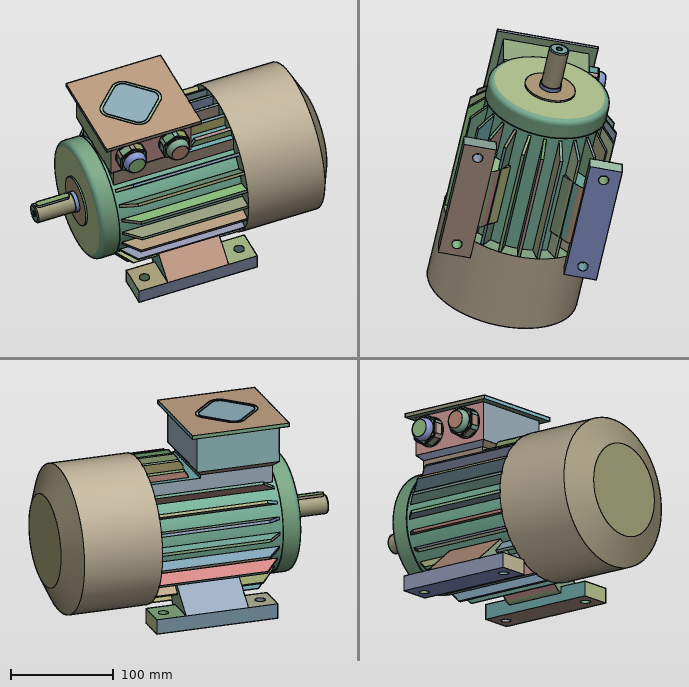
import cadquery as cq
import math


motor_length = 290.0

shaft_dia = 19.0
shaft_length = 40.0
shaft_chamfer = 1.2
collar_dia = 21.0
center_hole_dia = 5.0
center_hole_mouth_dia = 6.0
center_hole_depth = 11.5
drill_tip_depth = center_hole_dia / 4
mouth_depth = (center_hole_mouth_dia - center_hole_dia) / 2
key_width = 6.0
key_length = 34.8
key_front_y = -37.7
key_top_z = 12.0

pilot_dia = 50.0
pilot_front_y = 4.0
shield_dia = 120.0
shield_front_y = 5.8
shield_back_y = 25.2
shield_round = 5.2

frame_dia = 118.0
cowl_dia = 149.0
cowl_front_y = 155.2
cowl_shoulder_y = 235.8
cowl_back_y = motor_length - shaft_length
cowl_back_dia = 92.8

fin_tip_radius = 73.7
fin_thickness = 3.0
fin_front_y = 28.5
fin_taper_length = 14.5
fin_step_angle = 15
fin_first_angle = -225
fin_last_angle = 45
fin_embed = 3.0
top_fin_pitch = 15.0
top_fins_per_side = 2
top_fin_front_y = 113.0
top_fin_taper_length = 4.0
top_fin_taper_drop = 5.2

box_center_y = 65.5
box_side = 85.0
box_bottom_z = 63.2
box_chamfer = 5.2
pedestal_side = box_side - 2 * box_chamfer
pedestal_back_z = 59.7
lid_side = 100.0
lid_bottom_z = 106.7
lid_top_z = 110.5

badge_center_y = 62.4
badge_side = 51.3
badge_rim = 3.0
badge_corner_radius = 11.5
badge_height = 0.5

gland_spacing = 45.5
gland_z = 88.2
gland_dia = 29.5
gland_flats = 27.5
gland_collar_length = 1.5
gland_nut_end_x = 52.8
gland_cap_hex_corners = 28.5
gland_cap_hex_end_x = 54.2
gland_dome_dia = 23.2
gland_dome_straight_end_x = 56.0
gland_dome_tip_dia = 17.5
gland_end_x = 61.5

feet_width = 157.0
foot_width = 32.0
foot_length = 125.0
foot_height = 15.0
foot_bottom_z = -80.0
foot_center_y = 100.0
foot_top_z = foot_bottom_z + foot_height
foot_center_x = (feet_width - foot_width) / 2
foot_hole_dia = 10.0
foot_hole_pitch = 100.0
saddle_length = 64.5
saddle_upper_slope = math.tan(math.radians(39.7))
saddle_lower_slope = math.tan(math.radians(43))
saddle_top_x = 43.5
saddle_inner_x = 26.0
saddle_inner_z = -54.5
saddle_bend_x = 41.5
saddle_bottom_z = -71.3


def turned(points):
    """Solid of revolution about the Y axis from (radius, y) points."""
    return cq.Workplane("XY").polyline(points).close().revolve(360, (0, 0, 0), (0, 1, 0))


def cylinder_y(diameter, y_start, y_end):
    radius = diameter / 2
    return turned([(0, y_start), (radius, y_start), (radius, y_end), (0, y_end)])


def block(x_size, y_size, z_start, z_end, center_x=0, center_y=0):
    return (
        cq.Workplane("XY", origin=(center_x, center_y, z_start))
        .rect(x_size, y_size)
        .extrude(z_end - z_start)
    )


def make_core():
    """Shield, frame and cowl stacked along the shaft axis."""
    shield = cylinder_y(shield_dia, shield_front_y, shield_back_y).faces("<Y").edges().fillet(shield_round)
    pilot = cylinder_y(pilot_dia, pilot_front_y, shield_back_y)
    frame = cylinder_y(frame_dia, shield_front_y + shield_round, cowl_shoulder_y)
    cowl = turned([
        (0, cowl_front_y),
        (cowl_dia / 2, cowl_front_y),
        (cowl_dia / 2, cowl_shoulder_y),
        (cowl_back_dia / 2, cowl_back_y),
        (0, cowl_back_y),
    ])
    return frame.union(shield).union(pilot).union(cowl)


def make_shaft():
    shaft = cylinder_y(shaft_dia, -shaft_length, pilot_front_y).faces("<Y").edges().chamfer(shaft_chamfer)
    collar = cylinder_y(collar_dia, 0, shield_front_y)
    key = (
        cq.Workplane("XY", origin=(0, key_front_y + key_length / 2, 0))
        .slot2D(key_length, key_width, 90)
        .extrude(key_top_z)
    )
    hole_radius = center_hole_dia / 2
    center_hole = turned([
        (0, -shaft_length),
        (center_hole_mouth_dia / 2, -shaft_length),
        (hole_radius, -shaft_length + mouth_depth),
        (hole_radius, -shaft_length + center_hole_depth),
        (0, -shaft_length + center_hole_depth + drill_tip_depth),
    ])
    return shaft.union(collar).union(key).cut(center_hole)


def fin_envelope(front_y, taper_length, taper_drop):
    """Turned limit of a set of fins: full radius with a tapered drive end."""
    return turned([
        (0, front_y),
        (fin_tip_radius - taper_drop, front_y),
        (fin_tip_radius, front_y + taper_length),
        (fin_tip_radius, cowl_front_y + fin_embed),
        (0, cowl_front_y + fin_embed),
    ])


def make_radial_fins():
    root_radius = frame_dia / 2 - fin_embed
    length = cowl_front_y + fin_embed - fin_front_y
    height = fin_tip_radius + fin_embed - root_radius
    blank = cq.Workplane("XY").box(height, length, fin_thickness).translate(
        (root_radius + height / 2, fin_front_y + length / 2, 0)
    )
    fins = cq.Workplane("XY")
    for angle in range(fin_first_angle, fin_last_angle + 1, fin_step_angle):
        fins = fins.add(blank.rotate((0, 0, 0), (0, 1, 0), -angle))
    taper_drop = fin_tip_radius - frame_dia / 2
    return fins.combine().intersect(fin_envelope(fin_front_y, fin_taper_length, taper_drop))


def make_top_fins():
    """Upright parallel fins behind the terminal box."""
    length = cowl_front_y + fin_embed - top_fin_front_y
    fins = cq.Workplane("XY")
    for index in range(-top_fins_per_side, top_fins_per_side + 1):
        fins = fins.add(block(
            fin_thickness,
            length,
            pedestal_back_z - fin_embed,
            fin_tip_radius + fin_embed,
            index * top_fin_pitch,
            top_fin_front_y + length / 2,
        ))
    return fins.combine().intersect(
        fin_envelope(top_fin_front_y, top_fin_taper_length, top_fin_taper_drop)
    )


def make_terminal_box():
    neck = block(pedestal_side, pedestal_side, 0, box_bottom_z, 0, box_center_y)
    pedestal_front_y = box_center_y - pedestal_side / 2
    pedestal_length = cowl_front_y + fin_embed - pedestal_front_y
    pedestal = block(
        pedestal_side, pedestal_length, 0, pedestal_back_z, 0, pedestal_front_y + pedestal_length / 2
    )
    box = block(box_side, box_side, box_bottom_z, lid_bottom_z, 0, box_center_y)
    box = box.faces("<Z").edges().chamfer(box_chamfer)
    lid = block(lid_side, lid_side, lid_bottom_z, lid_top_z, 0, box_center_y)
    return neck.union(pedestal).union(box).union(lid)


def make_badge():
    def rounded_square(side, radius):
        return block(side, side, lid_top_z, lid_top_z + badge_height).edges("|Z").fillet(radius)

    rim = rounded_square(badge_side, badge_corner_radius).cut(
        rounded_square(badge_side - 2 * badge_rim, badge_corner_radius - badge_rim)
    )
    return rim.rotate((0, 0, 0), (0, 0, 1), 45).translate((0, badge_center_y, 0))


def make_gland(center_y):
    """Cable gland along +X: round collar, hexagon with rounded corners, cap hexagon, dome."""
    base_x = box_side / 2

    def plane_at(x):
        return cq.Workplane("YZ", origin=(x, center_y, gland_z))

    def hexagon(corner_dia, x_start, x_end):
        turned_plane = plane_at(x_start).transformed(rotate=(0, 0, 30))
        return turned_plane.polygon(6, corner_dia).extrude(x_end - x_start)

    collar = plane_at(base_x).circle(gland_dia / 2).extrude(gland_collar_length)
    nut_x = base_x + gland_collar_length
    nut = plane_at(nut_x).circle(gland_dia / 2).extrude(gland_nut_end_x - nut_x)
    nut = nut.intersect(hexagon(gland_flats / math.cos(math.pi / 6), nut_x, gland_nut_end_x))
    cap = hexagon(gland_cap_hex_corners, gland_nut_end_x, gland_cap_hex_end_x)
    dome = (
        cq.Workplane("XY", origin=(0, center_y, gland_z))
        .moveTo(gland_cap_hex_end_x, 0)
        .lineTo(gland_cap_hex_end_x, gland_dome_dia / 2)
        .lineTo(gland_dome_straight_end_x, gland_dome_dia / 2)
        .tangentArcPoint((gland_end_x, gland_dome_tip_dia / 2), relative=False)
        .lineTo(gland_end_x, 0)
        .close()
        .revolve(360, (0, 0, 0), (1, 0, 0))
    )
    return collar.union(nut).union(cap).union(dome)


def make_right_foot():
    """Foot pad with two holes and the sloping saddle that joins it to the frame."""
    foot = block(foot_width, foot_length, foot_bottom_z, foot_top_z, foot_center_x, foot_center_y)
    foot = foot.faces(">Z").workplane(centerOption="CenterOfBoundBox")
    foot = foot.rarray(3, foot_hole_pitch, 1, 2).hole(foot_hole_dia)

    outer_x = feet_width / 2
    foot_inner_x = outer_x - foot_width
    saddle = (
        cq.Workplane("XZ", origin=(0, foot_center_y - saddle_length / 2, 0))
        .moveTo(outer_x, foot_top_z)
        .lineTo(saddle_top_x, foot_top_z + (outer_x - saddle_top_x) * saddle_upper_slope)
        .lineTo(saddle_inner_x, saddle_inner_z)
        .lineTo(saddle_bend_x, saddle_inner_z - (saddle_bend_x - saddle_inner_x) * saddle_lower_slope)
        .tangentArcPoint((foot_inner_x, saddle_bottom_z), relative=False)
        .lineTo(outer_x, saddle_bottom_z)
        .close()
        .extrude(-saddle_length)
    )
    return foot.union(saddle)


result = make_core().union(make_shaft())
result = result.union(make_terminal_box()).union(make_badge())
result = result.union(make_radial_fins()).union(make_top_fins())
for side in (-1, 1):
    result = result.union(make_gland(box_center_y + side * gland_spacing / 2))
right_foot = make_right_foot()
result = result.union(right_foot).union(right_foot.mirror("YZ"))